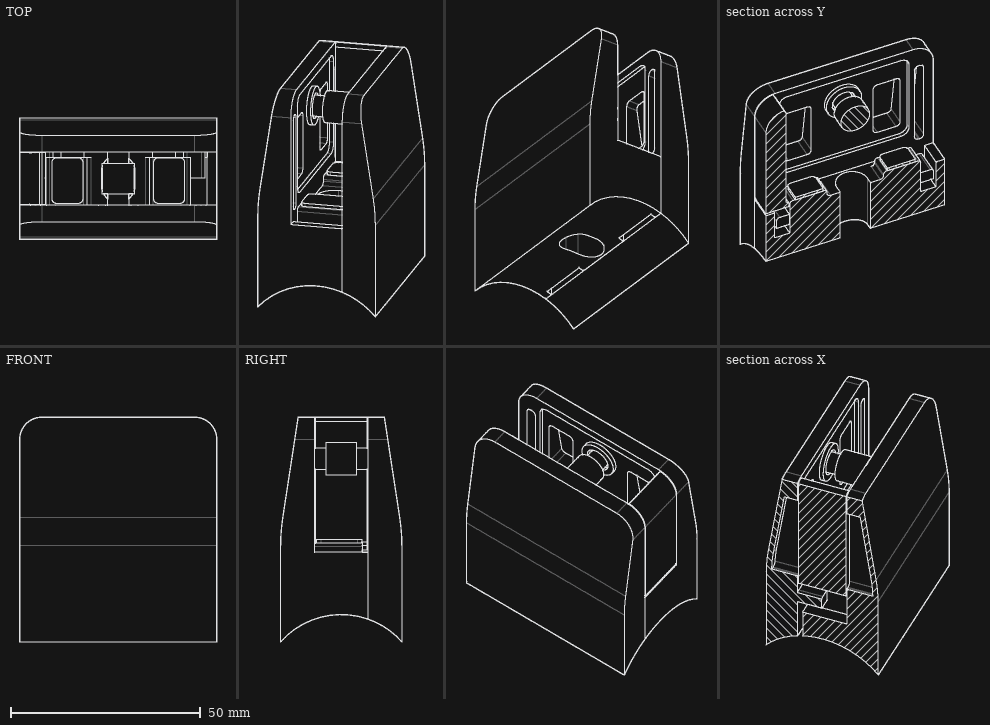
import cadquery as cq
import math


length = 52.0
depth = 32.0
height = 59.3
half_length = length / 2
half_depth = depth / 2
top_half_depth = 11.4
lean_start = 29.1
lean_blend_radius = 48.6
corner_radius = 5.9
rail_radius = 21.35
rail_centre_z = -math.sqrt(rail_radius**2 - half_depth**2)

slot_half_width = 7.0
slot_floor = 23.7

panel_half_length = 18.9
panel_top = 56.75
panel_bottom = 29.65
panel_corner_radius = 2.4
panel_depth = 1.1
outer_skin = 1.6
window_inner_x = 9.0
window_outer_x = 16.85
window_top = 49.6
window_bottom = 32.6
window_corner_radius = 1.2
end_slot_inner_x = 20.5
end_slot_outer_x = 23.2
end_slot_top = 52.9
end_slot_bottom = 26.7

pin_z = 48.3
pin_radius = 2.8
pin_collar_radius = 4.25
pin_collar_length = 8.0
pin_socket_depth = 2.4
boss_radius = 5.15
boss_bore_radius = 3.4

land_inner_x = 8.2
land_outer_x = 19.1
land_end_y = 5.6
land_height = 2.4
land_round = 0.95
pad_length = 8.2
pad_x = 13.4
pad_front_y = -6.5
pad_back_y = 5.45
pad_corner_radius = 1.2
pad_thickness = 0.9

notch_inner_x = 9.0
well_outer_x = 23.4
well_floor = 14.8

tongue_inner_x = 17.15
tongue_outer_x = 22.9
tongue_end_y = 0.1
tongue_top = 21.35
tongue_height = 3.55
tongue_round = 1.0

mount_slot_width = 8.8
mount_slot_length = 12.55

bolt_x = 12.05
bolt_z = 11.85
bolt_radius = 3.1
bolt_start_y = 1.2
bolt_end_y = 11.85

gasket_gap = 0.2
gasket_bottom = 24.25
gasket_top_x = -20.75
gasket_inner_x = -20.1
gasket_lip_drop = 1.2
gasket_foot_x = -19.2
gasket_foot_height = 1.2


def box(x0, x1, y0, y1, z0, z1):
    """Box between two corners."""
    return cq.Workplane().box(x1 - x0, y1 - y0, z1 - z0, centered=False).translate((x0, y0, z0))


def y_cylinder(x, z, radius, y0, y1):
    """Cylinder along Y, from y0 to y1."""
    return cq.Workplane("XZ", origin=(x, y1, z)).circle(radius).extrude(y1 - y0)


def in_both_halves(shape):
    """The shape together with its mirror image in the YZ plane."""
    return shape.union(shape.mirror("YZ"))


def tapered_block(top_width, bottom_width, bottom_z):
    """Block along X whose two long sides lean in above a blend and whose top is cut level."""
    lean = math.atan((bottom_width - top_width) / (height - lean_start))
    blend_length = lean_blend_radius * math.tan(lean / 2)
    blend_low = (bottom_width, lean_start - blend_length)
    blend_high = (
        bottom_width - blend_length * math.sin(lean),
        lean_start + blend_length * math.cos(lean),
    )
    half = (
        cq.Workplane("YZ")
        .moveTo(0, bottom_z)
        .lineTo(bottom_width, bottom_z)
        .lineTo(*blend_low)
        .radiusArc(blend_high, -lean_blend_radius)
        .lineTo(top_width, height)
        .lineTo(0, height)
        .close()
        .extrude(half_length, both=True)
    )
    return half.union(half.mirror("XZ"))


def clamp_envelope():
    """Outer shape of the closed clamp, with rounded top corners and the rail hollow."""
    body = tapered_block(top_half_depth, half_depth, 0)
    outline = box(-half_length, half_length, -half_depth, half_depth, 0, height)
    outline = outline.edges("|Y and >Z").fillet(corner_radius)
    rail = (
        cq.Workplane("YZ")
        .center(0, rail_centre_z)
        .circle(rail_radius)
        .extrude(half_length, both=True)
    )
    return body.intersect(outline).cut(rail)


def inner_relief():
    """Material removed from the inner face of the plate: panel, windows and end slots."""
    panel = box(
        -panel_half_length, panel_half_length,
        slot_half_width, slot_half_width + panel_depth,
        panel_bottom, panel_top,
    )
    panel = panel.edges("|Y").fillet(panel_corner_radius)
    boss = y_cylinder(0, pin_z, boss_radius, slot_half_width, half_depth)
    boss_bore = y_cylinder(0, pin_z, boss_bore_radius, slot_half_width, slot_half_width + panel_depth)
    windows = box(
        window_inner_x, window_outer_x, slot_half_width + panel_depth, half_depth,
        window_bottom, window_top,
    )
    windows = windows.edges("|Y").fillet(window_corner_radius)
    end_slots = box(
        end_slot_inner_x, end_slot_outer_x, slot_half_width, half_depth,
        end_slot_bottom, end_slot_top,
    )
    end_slots = end_slots.edges("|Y").fillet(window_corner_radius)
    skin_core = tapered_block(top_half_depth - outer_skin, half_depth - outer_skin, slot_floor)
    cavities = in_both_halves(windows.union(end_slots)).intersect(skin_core)
    return panel.cut(boss).union(boss_bore).union(cavities)


def pin_body():
    """Round pin across the glass slot, with a thicker collar in the middle."""
    half_pin = slot_half_width + pin_socket_depth
    shank = y_cylinder(0, pin_z, pin_radius, -half_pin, half_pin)
    half_collar = pin_collar_length / 2
    return shank.union(y_cylinder(0, pin_z, pin_collar_radius, -half_collar, half_collar))


def bolt_body(side):
    """Plain bolt that ties the plate to the base."""
    return y_cylinder(side * bolt_x, bolt_z, bolt_radius, bolt_start_y, bolt_end_y)


def pad_body(side):
    """Rounded pad that lies on a land and carries the glass."""
    z0 = slot_floor + land_height
    half_pad = pad_length / 2
    pad = box(-half_pad, half_pad, pad_front_y, pad_back_y, z0, z0 + pad_thickness)
    return pad.edges("|Z").fillet(pad_corner_radius).translate((side * pad_x, 0, 0))


def land():
    """Raised glass support on the +X side of the base, blended into the floor on its inner side."""
    top = slot_floor + land_height
    return (
        cq.Workplane("XZ", origin=(0, land_end_y, 0))
        .moveTo(land_inner_x - land_round, slot_floor)
        .radiusArc((land_inner_x, slot_floor + land_round), -land_round)
        .lineTo(land_inner_x, top - land_round)
        .radiusArc((land_inner_x + land_round, top), land_round)
        .lineTo(land_outer_x - land_round, top)
        .radiusArc((land_outer_x, top - land_round), land_round)
        .lineTo(land_outer_x, slot_floor)
        .close()
        .extrude(land_end_y + slot_half_width)
    )


def tongue():
    """Locating tongue of the plate on the +X side."""
    block = box(
        tongue_inner_x, tongue_outer_x, tongue_end_y, slot_half_width,
        tongue_top - tongue_height, tongue_top,
    )
    return block.edges("|Y and >Z").fillet(tongue_round)


def base_openings():
    """Back notches, end wells and tongue clearances of the base."""
    notch = box(notch_inner_x, well_outer_x, land_end_y, slot_half_width, 0, slot_floor)
    well = box(land_outer_x, well_outer_x, -slot_half_width, slot_half_width, well_floor, slot_floor)
    passage = box(
        tongue_inner_x, well_outer_x, tongue_end_y, slot_half_width,
        tongue_top - tongue_height, tongue_top,
    )
    return in_both_halves(notch.union(well).union(passage))


def jaw_body():
    """Front jaw in one piece with the base."""
    jaw = clamp_envelope().cut(
        box(-half_length, half_length, slot_half_width, half_depth, 0, height)
    )
    jaw = jaw.cut(
        box(-half_length, half_length, -slot_half_width, slot_half_width, slot_floor, height)
    )
    jaw = jaw.cut(inner_relief().mirror("XZ"))
    jaw = jaw.cut(base_openings()).union(in_both_halves(land()))
    mount_slot = (
        cq.Workplane("XY")
        .slot2D(mount_slot_length, mount_slot_width, 90)
        .extrude(slot_floor)
    )
    return jaw.cut(mount_slot)


def plate_body():
    """Cover plate behind the glass, with its two tongues."""
    plate = clamp_envelope().intersect(
        box(-half_length, half_length, slot_half_width, half_depth, 0, height)
    )
    return plate.cut(inner_relief()).union(in_both_halves(tongue()))


def gasket_body():
    """Gasket that closes the -X end of the glass slot and follows its rounded top corner."""
    half_width = slot_half_width - gasket_gap
    corner_centre_x = corner_radius - half_length
    corner_centre_z = height - corner_radius
    top_z = corner_centre_z + math.sqrt(corner_radius**2 - (gasket_top_x - corner_centre_x) ** 2)
    foot_top_z = gasket_bottom + gasket_foot_height
    foot_width = gasket_foot_x - gasket_inner_x
    return (
        cq.Workplane("XZ")
        .moveTo(-half_length, gasket_bottom)
        .lineTo(-half_length, corner_centre_z)
        .radiusArc((gasket_top_x, top_z), corner_radius)
        .lineTo(gasket_inner_x, height - gasket_lip_drop)
        .lineTo(gasket_inner_x, foot_top_z + foot_width)
        .lineTo(gasket_foot_x, foot_top_z)
        .lineTo(gasket_foot_x, gasket_bottom)
        .close()
        .extrude(half_width, both=True)
    )


sides = (-1, 1)
pin = pin_body()
bolts = [bolt_body(side) for side in sides]
pads = [pad_body(side) for side in sides]
gasket = gasket_body()
jaw = jaw_body().cut(pin)
plate = plate_body().cut(pin)
for bolt in bolts:
    jaw = jaw.cut(bolt)
    plate = plate.cut(bolt)

bodies = [jaw, plate, gasket, pin, *bolts, *pads]
result = cq.Compound.makeCompound([body.solids().val() for body in bodies])